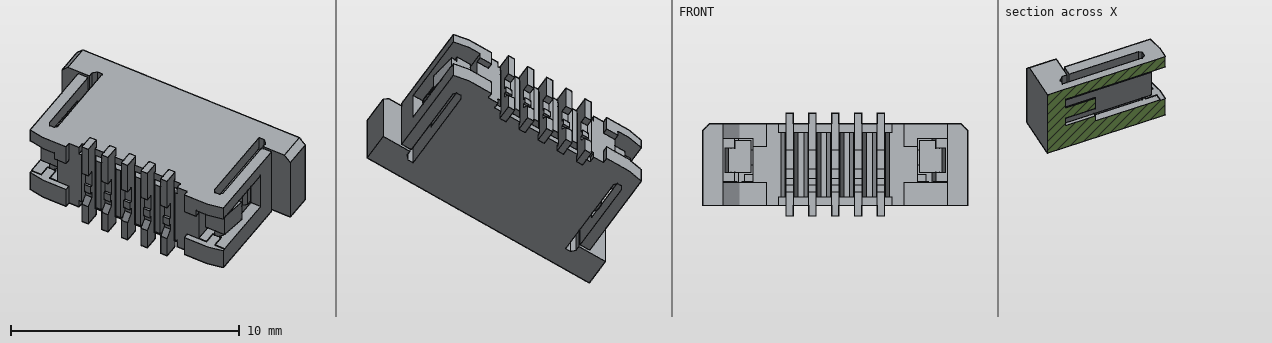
import cadquery as cq


overall_width = 11.6
depth = 5.75
housing_height = 3.6
body_half_width = 4.91
lug_front = 0.06
recessed_front = 0.31

flange_front = 4.45
flange_chamfer = 0.3
flange_gap = 0.1

lug_inner_x = 3.0
lug_corner_width = 0.73
lug_corner_depth = 0.14
lower_lug_top = 1.02
upper_lug_bottom = 2.59

pocket_inner_x = 3.6
pocket_floor = 1.05
pocket_roof = 2.93
pocket_rear = 3.42
tunnel_floor = 1.36

slot_inner_x = 3.98
slot_outer_x = 4.41
slot_front = 0.87
slot_rear = 4.86
slot_rear_chamfer = 0.17
slot_tip_width = 0.1
slot_tip_length = 0.14

arm_inner_x = 3.69
arm_outer_x = 4.38
arm_front = 0.71
arm_bottom = 1.46
arm_top = 2.85
hook_top = 2.52
hook_front_x = 4.66
hook_rear_x = 4.83
hook_rear = 1.93
bump_out = 0.17
bump_front = 2.73
bump_crest_front = 2.87
bump_crest_rear = 3.13
bump_rear = 3.39
arm_key_bottom = 1.77
arm_key_top = 2.44

contact_count = 5
contact_pitch = 1.0
contact_width = 0.32
contact_depth = 0.7
contact_protrusion = 0.45
groove_mouth = 0.75
groove_base = 0.4
groove_rear = 0.59
shelf_half_width = 2.49
shelf_height = 0.38
contact_neck_y = 0.31
contact_neck_top = 2.45
contact_nub_y = 0.21
contact_nub_top = 1.61
contact_nub_bottom = 1.18
contact_bevel_top = 0.9
contact_bevel_bottom = 0.59


def block(x_range, y_range, z_range):
    """Box spanning the given (low, high) ranges."""
    (x0, x1), (y0, y1), (z0, z1) = x_range, y_range, z_range
    return cq.Workplane("XY").box(x1 - x0, y1 - y0, z1 - z0, centered=False).translate((x0, y0, z0))


def prism(points, z_range):
    """Upright prism over an XY outline."""
    z0, z1 = z_range
    return cq.Workplane("XY").workplane(offset=z0).polyline(points).close().extrude(z1 - z0)


def both_sides(shape):
    """The shape together with its mirror image across the YZ plane."""
    return shape.union(shape.mirror("YZ"))


def make_housing():
    flange = (
        block((-overall_width / 2, overall_width / 2), (flange_front, depth), (0, housing_height))
        .edges("|Y and >Z").chamfer(flange_chamfer)
    )
    core = block((-slot_outer_x, slot_outer_x), (recessed_front, depth), (0, housing_height))
    side = block(
        (slot_outer_x, body_half_width), (recessed_front, flange_front - flange_gap), (0, housing_height)
    )
    lug_outline = [
        (lug_inner_x, lug_front),
        (body_half_width - lug_corner_width, lug_front),
        (body_half_width, lug_front + lug_corner_depth),
        (body_half_width, recessed_front),
        (lug_inner_x, recessed_front),
    ]
    lower_lug = prism(lug_outline, (0, lower_lug_top))
    upper_lug = prism(lug_outline, (upper_lug_bottom, housing_height))
    return flange.union(core).union(both_sides(side.union(lower_lug).union(upper_lug)))


def make_side_cavity():
    pocket_x = (pocket_inner_x, body_half_width)
    pocket = block(pocket_x, (0, pocket_rear), (pocket_floor, pocket_roof))
    floor_groove = block(
        (slot_inner_x, slot_outer_x), (recessed_front, slot_front), (lower_lug_top, pocket_floor)
    )
    tunnel = block((pocket_inner_x, slot_inner_x), (pocket_rear, slot_rear), (tunnel_floor, pocket_roof))
    slot = prism(
        [
            (slot_inner_x, slot_front + slot_tip_length),
            (slot_inner_x + slot_tip_width, slot_front),
            (slot_outer_x - slot_tip_width, slot_front),
            (slot_outer_x, slot_front + slot_tip_length),
            (slot_outer_x, slot_rear - slot_rear_chamfer),
            (slot_outer_x - slot_rear_chamfer, slot_rear),
            (slot_inner_x, slot_rear),
        ],
        (0, housing_height),
    )
    return pocket.union(floor_groove).union(tunnel).union(slot)


def make_latch_arm():
    arm = block((arm_inner_x, arm_outer_x), (arm_front, slot_rear), (arm_bottom, arm_top))
    hook = prism(
        [
            (arm_inner_x, arm_front),
            (hook_front_x, arm_front),
            (hook_rear_x, hook_rear),
            (arm_inner_x, hook_rear),
        ],
        (arm_bottom, hook_top),
    )
    bump = prism(
        [
            (arm_inner_x, bump_front),
            (arm_outer_x, bump_front),
            (arm_outer_x + bump_out, bump_crest_front),
            (arm_outer_x + bump_out, bump_crest_rear),
            (arm_outer_x, bump_rear),
            (arm_inner_x, bump_rear),
        ],
        (arm_bottom, hook_top),
    )
    key = block((pocket_inner_x, arm_inner_x), (pocket_rear, slot_rear), (arm_key_bottom, arm_key_top))
    return arm.union(hook).union(bump).union(key)


def make_shelf_cuts():
    shelf_x = (-shelf_half_width, shelf_half_width)
    shelf_y = (recessed_front, groove_rear)
    lower = block(shelf_x, shelf_y, (0, shelf_height))
    upper = block(shelf_x, shelf_y, (housing_height - shelf_height, housing_height))
    return lower.union(upper)


def make_contact_groove():
    return prism(
        [
            (-groove_mouth / 2, recessed_front),
            (groove_mouth / 2, recessed_front),
            (groove_base / 2, groove_rear),
            (-groove_base / 2, groove_rear),
        ],
        (0, housing_height),
    )


def make_contact():
    profile = [
        (contact_depth, -contact_protrusion),
        (0, -contact_protrusion),
        (0, contact_bevel_bottom),
        (contact_neck_y, contact_bevel_top),
        (contact_neck_y, contact_nub_bottom),
        (contact_nub_y, contact_nub_bottom),
        (contact_nub_y, contact_nub_top),
        (contact_neck_y, contact_nub_top),
        (contact_neck_y, contact_neck_top),
        (0, contact_neck_top),
        (0, housing_height + contact_protrusion),
        (contact_depth, housing_height + contact_protrusion),
    ]
    return cq.Workplane("YZ").polyline(profile).close().extrude(contact_width / 2, both=True)


connector = make_housing().cut(both_sides(make_side_cavity())).cut(make_shelf_cuts())
connector = connector.union(both_sides(make_latch_arm()))

for index in range(contact_count):
    contact_x = (index - (contact_count - 1) / 2) * contact_pitch
    connector = connector.cut(make_contact_groove().translate((contact_x, 0, 0)))
    connector = connector.union(make_contact().translate((contact_x, 0, 0)))

result = connector